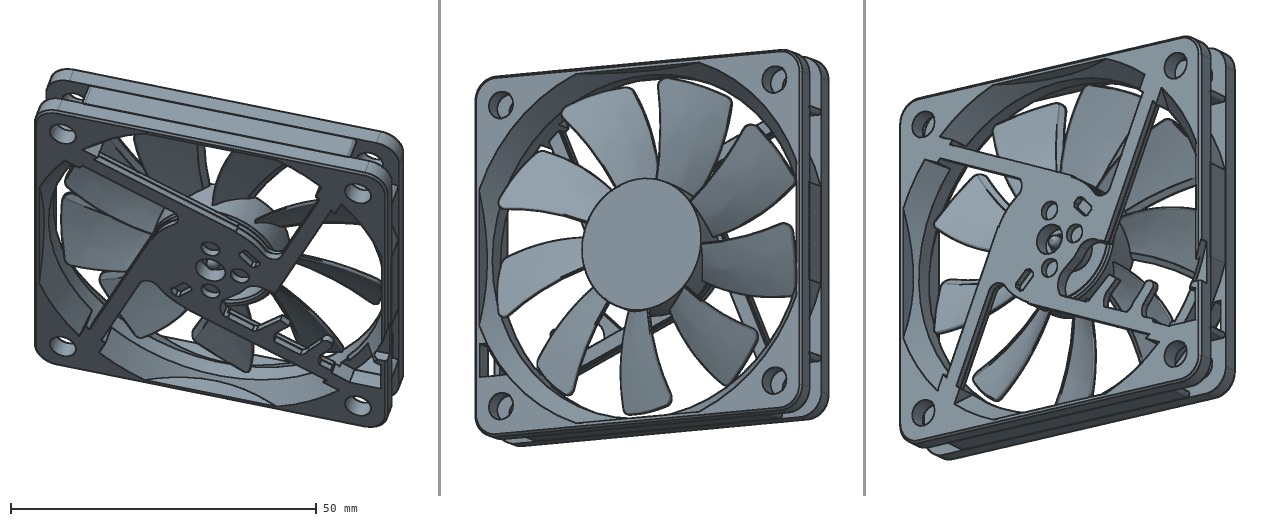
import cadquery as cq
import math

SIDE = 60.0
DEPTH = 10.4
FRONT_Y = -DEPTH / 2
FLANGE_T = 3.05
CORNER_R = 3.9
EDGE_CHAMFER = 0.35
SCREW_OFFSET = 25.1
SCREW_D = 4.45
THROAT_R = 28.55
RING_R = 30.95
MOUTH_R = 31.2
MOUTH_DEPTH = 3.7
MOUTH_HALF_WIDTH = 29.1
RIB_T = 1.0
WALL_HALF_WIDTH = 29.9
TOP_RIB_HALF_LENGTH = 22.8
SIDE_RIB_Z = 20.5

STRUT_TILT = 66.9
STRUT_INNER = 8.5
STRUT_OUTER = 11.1
STRUT_REACH = 29.4
PAD_INNER = 7.7
PAD_OUTER = 11.95
HUB_R = 10.9
PLATE_T = 1.25
UNDERLAYER_T = 0.9
UNDERLAYER_INSET = 0.1
POCKET_FILLET = 1.8
VENT_D = 3.1
VENT_OFFSET = 5.0
POCKET_DEPTH = 1.25
SLOT_LENGTH = 3.7
SLOT_WIDTH = 2.0
SLOT_CHAMFER = 0.4
SLOT_1 = (6.6, 4.4)
SLOT_2 = (-5.0, -6.05)

BEARING_R = 3.3
BEARING_RECESS_R = 2.5
BEARING_RECESS_DEPTH = 2.7
BEARING_BORE_R = 1.6
BEARING_END = 7.5
SHAFT_R = 1.1
SHAFT_TIP_DEPTH = 0.6
CUP_R = 10.9
CUP_INNER_R = 9.6
CUP_FRONT = 2.5
CUP_FLOOR = 7.8
CUP_BACK = 9.0
CUP_RIM_CHAMFER = 0.35

BLADE_COUNT = 9
FIRST_BLADE_ANGLE = -90.0
BLADE_TIP_R = 27.7
BLADE_ROOT_R = 10.2
BLADE_T = 0.85
BLADE_FRONT = 3.35
BLADE_BACK_AT_ROOT = 8.15
BLADE_BACK_AT_MIDDLE = 9.1
BLADE_BACK_AT_TIP = 9.35
BLADE_SAG = 0.6
BLADE_CORNER_R = 1.45
BLADE_EDGE_FILLET = 0.2
BLADE_LONG_EDGE = 12.0
BLADE_BEVEL_WIDTH = 1.0
BLADE_BEVEL_DEPTH = 0.35

CABLE_WALL_X = 29.0
CABLE_FLOOR_Z = -19.9
CABLE_TOP_Z = -14.4
CABLE_DEPTH = 1.8
RECESS_DEPTH = 3.05
WINDOW_R = 31.4
CABLE_GUIDE_R = 30.55
EXIT_BOTTOM_Z = -13.2
EXIT_TOP_Z = -6.0


def plane_at(depth):
    """Work plane facing the front, at a given depth behind the front face."""
    return cq.Workplane("XZ", origin=(0, FRONT_Y + depth, 0))


def disc(radius, depth, thickness):
    return plane_at(depth).circle(radius).extrude(-thickness)


def rectangle(x_min, x_max, z_min, z_max, depth, thickness):
    return (
        plane_at(depth)
        .center((x_min + x_max) / 2, (z_min + z_max) / 2)
        .rect(x_max - x_min, z_max - z_min)
        .extrude(-thickness)
    )


def spin(body, angle):
    """Turn a body about the fan axis, counter-clockwise as seen from the front."""
    return body.rotate((0, 0, 0), (0, -1, 0), angle)


def band(inner, outer, start, end, index, depth, thickness):
    """Straight band along strut number `index`, between two distances from the fan axis."""
    upright = rectangle(inner, outer, start, end, depth, thickness)
    return spin(upright, STRUT_TILT - 90 + 90 * index)


def flange(depth, outer_face):
    slab = rectangle(-SIDE / 2, SIDE / 2, -SIDE / 2, SIDE / 2, depth, FLANGE_T)
    return slab.edges("|Y").fillet(CORNER_R).faces(outer_face).chamfer(EDGE_CHAMFER)


def rib(length, x, z):
    """Flat rib with round ends, bridging the gap between the flanges."""
    gap = DEPTH - 2 * FLANGE_T
    return plane_at(FLANGE_T).center(x, z).slot2D(length, RIB_T).extrude(-gap)


def mouth():
    """Tapered air mouth at the front, with its four sides cut flat."""
    cone = (
        cq.Workplane("XY")
        .polyline([(0, 0), (MOUTH_R, 0), (THROAT_R, MOUTH_DEPTH), (0, MOUTH_DEPTH)])
        .close()
        .revolve(360, (0, 0), (0, 1))
        .translate((0, FRONT_Y, 0))
    )
    half = MOUTH_HALF_WIDTH
    return cone.intersect(rectangle(-half, half, -half, half, 0, MOUTH_DEPTH))


def make_frame():
    frame = flange(0, "<Y").union(flange(DEPTH - FLANGE_T, ">Y"))
    gap = DEPTH - 2 * FLANGE_T
    half = WALL_HALF_WIDTH
    wall = disc(RING_R, FLANGE_T, gap)
    wall = wall.intersect(rectangle(-half, half, -half, half, FLANGE_T, gap))
    frame = frame.union(wall)
    edge_rib_z = half - RIB_T / 2
    for side in (-1, 1):
        frame = frame.union(rib(2 * TOP_RIB_HALF_LENGTH, 0, side * edge_rib_z))
        frame = frame.union(rib(2 * half, 0, side * SIDE_RIB_Z))

    front_mouth = mouth()
    back_mouth = front_mouth.mirror("XZ")
    for index in range(4):
        front_mouth = front_mouth.cut(band(PAD_INNER, PAD_OUTER, 0, SIDE, index, 0, MOUTH_DEPTH))
    frame = frame.cut(disc(THROAT_R, 0, DEPTH)).cut(front_mouth).cut(back_mouth)

    corners = [(x, z) for x in (-SCREW_OFFSET, SCREW_OFFSET) for z in (-SCREW_OFFSET, SCREW_OFFSET)]
    return frame.cut(plane_at(0).pushPoints(corners).circle(SCREW_D / 2).extrude(-DEPTH))


def coil_notch():
    """Opening in the hub plate on the side of the cable."""
    return (
        plane_at(0)
        .moveTo(12.0, -2.8)
        .lineTo(9.6, -2.1)
        .threePointArc((7.6, -1.7), (6.1, -2.45))
        .lineTo(5.0, -4.0)
        .lineTo(3.2, -5.6)
        .threePointArc((1.8, -7.45), (2.15, -10.15))
        .lineTo(12.0, -14.35)
        .close()
        .extrude(-PLATE_T - UNDERLAYER_T)
    )


def cable_hooks():
    """Two hooks on the lower right strut that hold the cable."""
    short_hook = (
        plane_at(0)
        .moveTo(6.6, -12.35)
        .lineTo(7.8, -12.25)
        .lineTo(11.9, -8.5)
        .lineTo(13.3, -9.55)
        .lineTo(11.35, -11.5)
        .threePointArc((10.85, -12.55), (10.85, -14.05))
        .lineTo(9.6, -14.4)
        .close()
        .extrude(-PLATE_T)
    )
    long_hook = (
        plane_at(0)
        .moveTo(13.8, -15.7)
        .threePointArc((15.25, -15.8), (16.5, -14.65))
        .lineTo(18.7, -11.95)
        .threePointArc((20.1, -11.3), (20.5, -12.65))
        .lineTo(18.7, -15.0)
        .threePointArc((18.5, -17.0), (20.65, -18.5))
        .lineTo(20.4, -19.8)
        .lineTo(13.8, -16.8)
        .close()
        .extrude(-PLATE_T)
    )
    return short_hook.union(long_hook)


def spider_layer(depth, thickness, inset):
    """Hub disc and four struts, with rounded pockets where they meet."""
    hub_r = HUB_R - inset
    inner = STRUT_INNER + inset
    layer = disc(hub_r, depth, thickness)
    for index in range(4):
        layer = layer.union(
            band(inner, STRUT_OUTER - inset, 0, STRUT_REACH, index, depth, thickness)
        )
    along = math.sqrt(hub_r**2 - inner**2)
    tilt = math.radians(STRUT_TILT)
    corner_x = inner * math.sin(tilt) + along * math.cos(tilt)
    corner_z = along * math.sin(tilt) - inner * math.cos(tilt)
    pockets = [(corner_x, corner_z), (-corner_z, corner_x), (-corner_x, -corner_z)]
    for x, z in pockets:
        box = cq.selectors.BoxSelector((x - 0.3, -SIDE, z - 0.3), (x + 0.3, SIDE, z + 0.3))
        layer = layer.edges("|Y").edges(box).fillet(POCKET_FILLET)
    return layer


def hub_slot(place, angle):
    slot = plane_at(0).rect(SLOT_LENGTH, SLOT_WIDTH).extrude(-POCKET_DEPTH)
    return spin(slot.edges("|Y").chamfer(SLOT_CHAMFER), angle).translate((place[0], 0, place[1]))


def make_spider():
    spider = spider_layer(0, PLATE_T, 0)
    spider = spider.union(spider_layer(PLATE_T, UNDERLAYER_T, UNDERLAYER_INSET))
    spider = spider.cut(coil_notch()).union(cable_hooks())
    spider = spider.union(disc(BEARING_R, 0, BEARING_END))
    spider = spider.cut(disc(BEARING_RECESS_R, 0, BEARING_RECESS_DEPTH))
    spider = spider.cut(disc(BEARING_BORE_R, 0, BEARING_END))
    vents = [(0, VENT_OFFSET), (VENT_OFFSET, 0), (0, -VENT_OFFSET)]
    spider = spider.cut(plane_at(0).pushPoints(vents).circle(VENT_D / 2).extrude(-POCKET_DEPTH))
    return spider.cut(hub_slot(SLOT_1, -45)).cut(hub_slot(SLOT_2, 45))


def cable_exit():
    """Corner recess, through window beyond the ring wall, and outlet in the right side."""
    recess = (
        plane_at(0)
        .polyline(
            [
                (20.65, -18.55),
                (23.65, CABLE_FLOOR_Z),
                (CABLE_WALL_X, CABLE_FLOOR_Z),
                (CABLE_WALL_X, CABLE_TOP_Z),
                (24.8, -12.7),
                (19.8, -16.2),
            ]
        )
        .close()
        .extrude(-RECESS_DEPTH)
    )
    window = rectangle(
        THROAT_R / 2, CABLE_WALL_X, CABLE_FLOOR_Z, CABLE_TOP_Z, 0, DEPTH
    ).cut(disc(WINDOW_R, 0, DEPTH))
    outlet = rectangle(
        THROAT_R / 2, SIDE, EXIT_BOTTOM_Z, EXIT_TOP_Z, 0, CABLE_DEPTH
    ).cut(disc(CABLE_GUIDE_R, 0, CABLE_DEPTH))
    return recess.union(window).union(outlet)


def make_housing():
    return make_frame().union(make_spider()).cut(cable_exit())


def blade_section(radius, leading, trailing, back_depth):
    """Thin arched strip across the blade: (tangential place, depth) at a distance from the axis."""
    middle = (leading + trailing) / 2
    mid_depth = (BLADE_FRONT + back_depth) / 2 + FRONT_Y + BLADE_SAG
    front = BLADE_FRONT + FRONT_Y
    back = back_depth + FRONT_Y
    return (
        cq.Workplane("YZ", origin=(radius, 0, 0))
        .moveTo(front, leading)
        .threePointArc((mid_depth, middle), (back, trailing))
        .lineTo(back + BLADE_T, trailing)
        .threePointArc((mid_depth + BLADE_T, middle), (front + BLADE_T, leading))
        .close()
    )


def broad_faces(blade):
    """The two large faces of a blade, front and back."""
    return sorted(blade.faces().vals(), key=lambda face: face.Area())[-2:]


def make_blade():
    """One twisted blade pointing along +X, trimmed to its rounded outline."""
    sections = [
        (8.4, 4.5, -1.5, BLADE_BACK_AT_ROOT),
        (18.0, 6.55, -3.55, BLADE_BACK_AT_MIDDLE),
        (28.8, 5.9, -8.05, BLADE_BACK_AT_TIP),
    ]
    wires = [blade_section(*section).wires().val() for section in sections]
    sheet = cq.Workplane(cq.Solid.makeLoft(wires))
    outline = (
        plane_at(0)
        .moveTo(8.4, 4.0)
        .threePointArc((18.0, 6.05), (28.5, 5.05))
        .lineTo(28.5, -7.4)
        .threePointArc((18.7, -2.95), (8.4, -1.0))
        .close()
        .extrude(-DEPTH)
        .intersect(disc(BLADE_TIP_R, 0, DEPTH))
    )
    tip_corners = cq.selectors.BoxSelector((24, -SIDE, -SIDE), (SIDE, SIDE, SIDE))
    rounded_outline = outline.edges("|Y").edges(tip_corners).fillet(BLADE_CORNER_R)
    blade = sheet.intersect(outline)
    front_face = min(broad_faces(blade), key=lambda face: face.Center().y)
    long_edges = [edge for edge in front_face.Edges() if edge.Length() > BLADE_LONG_EDGE]
    trailing_edge = min(long_edges, key=lambda edge: edge.Center().z)
    blade = blade.newObject([trailing_edge]).chamfer(BLADE_BEVEL_WIDTH, BLADE_BEVEL_DEPTH)
    blade = blade.intersect(rounded_outline)
    rims = [edge for face in broad_faces(blade) for edge in face.Edges()]
    outer_rims = [edge for edge in rims if edge.Center().x > BLADE_ROOT_R]
    blade = blade.newObject(outer_rims).fillet(BLADE_EDGE_FILLET)
    return blade.cut(disc(BLADE_ROOT_R, 0, DEPTH))


def make_rotor():
    """Cup open to the front, with its shaft and the ring of blades."""
    cup = disc(CUP_R, CUP_FRONT, CUP_BACK - CUP_FRONT)
    cup = cup.cut(disc(CUP_INNER_R, CUP_FRONT, CUP_FLOOR - CUP_FRONT))
    cup = cup.faces("<Y").edges("%CIRCLE").edges("<X or >X").chamfer(CUP_RIM_CHAMFER)
    shaft = disc(SHAFT_R, SHAFT_TIP_DEPTH, CUP_BACK - SHAFT_TIP_DEPTH)
    shaft = shaft.faces("<Y").edges().fillet(SHAFT_R * 0.9)
    rotor = cup.union(shaft)
    blade = make_blade()
    for index in range(BLADE_COUNT):
        rotor = rotor.union(spin(blade, FIRST_BLADE_ANGLE + index * 360 / BLADE_COUNT))
    return rotor


housing = make_housing()
rotor = make_rotor()
result = cq.Compound.makeCompound([housing.val(), rotor.val()])